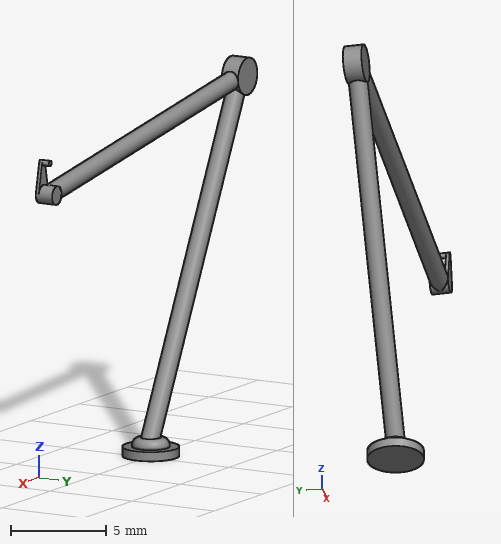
import cadquery as cq
import math

overall_length = 21.25
overall_height = 19.75
arm_diameter = 1.0

arm_radius = arm_diameter / 2
depth = arm_diameter

base_radius = 1.5 * arm_diameter
base_thickness = arm_diameter / 2
dome_radius = arm_diameter
dome_height = arm_diameter / 2
dome_rounding = 0.43
dome_top = base_thickness + dome_height

joint_radius = arm_diameter
joint_x = -9.18
joint_z = overall_height - joint_radius

pivot_radius = arm_radius
pivot_x = joint_x + overall_length - joint_radius - pivot_radius
pivot_z = 15.92
plate_thickness = 0.2
pin_radius = 0.15
pin_length = 0.6
pin_rise = 1.68

arm_embed = 0.32


def cylinder_along_y(x, z, radius, length):
    """Cylinder running back from the front face of the joint."""
    return cq.Workplane(
        cq.Solid.makeCylinder(radius, length, cq.Vector(x, -depth / 2, z), cq.Vector(0, 1, 0))
    )


def arm(start, end, extension=0):
    """Round bar from start to end, lengthened past the end by the extension."""
    axis = end - start
    return cq.Workplane(
        cq.Solid.makeCylinder(arm_radius, axis.Length + extension, start, axis)
    )


def teardrop_plate():
    """Plate bounded by the pivot and pin circles and their common tangents."""
    tangent_angle = math.asin((pivot_radius - pin_radius) / pin_rise)
    across = math.cos(tangent_angle)
    up = math.sin(tangent_angle)
    pin_z = pivot_z + pin_rise
    outline = (
        cq.Workplane("XZ", origin=(0, -depth / 2, 0))
        .moveTo(pivot_x + pivot_radius * across, pivot_z + pivot_radius * up)
        .lineTo(pivot_x + pin_radius * across, pin_z + pin_radius * up)
        .threePointArc(
            (pivot_x, pin_z + pin_radius),
            (pivot_x - pin_radius * across, pin_z + pin_radius * up),
        )
        .lineTo(pivot_x - pivot_radius * across, pivot_z + pivot_radius * up)
        .threePointArc(
            (pivot_x, pivot_z - pivot_radius),
            (pivot_x + pivot_radius * across, pivot_z + pivot_radius * up),
        )
        .close()
    )
    return outline.extrude(-plate_thickness)


def base():
    """Round foot carrying a low dome with a rounded top edge."""
    foot = cq.Workplane("XY").circle(base_radius).extrude(base_thickness)
    dome = (
        cq.Workplane("XY", origin=(0, 0, base_thickness))
        .circle(dome_radius)
        .extrude(dome_height)
        .faces(">Z")
        .edges()
        .fillet(dome_rounding)
    )
    return foot.union(dome)


joint_centre = cq.Vector(joint_x, 0, joint_z)
dome_centre = cq.Vector(0, 0, dome_top)
pivot_centre = cq.Vector(pivot_x, 0, pivot_z)

result = (
    base()
    .union(arm(joint_centre, dome_centre, arm_embed))
    .union(cylinder_along_y(joint_x, joint_z, joint_radius, depth))
    .union(arm(joint_centre, pivot_centre))
    .union(cylinder_along_y(pivot_x, pivot_z, pivot_radius, depth))
    .union(teardrop_plate())
    .union(cylinder_along_y(pivot_x, pivot_z + pin_rise, pin_radius, pin_length))
)